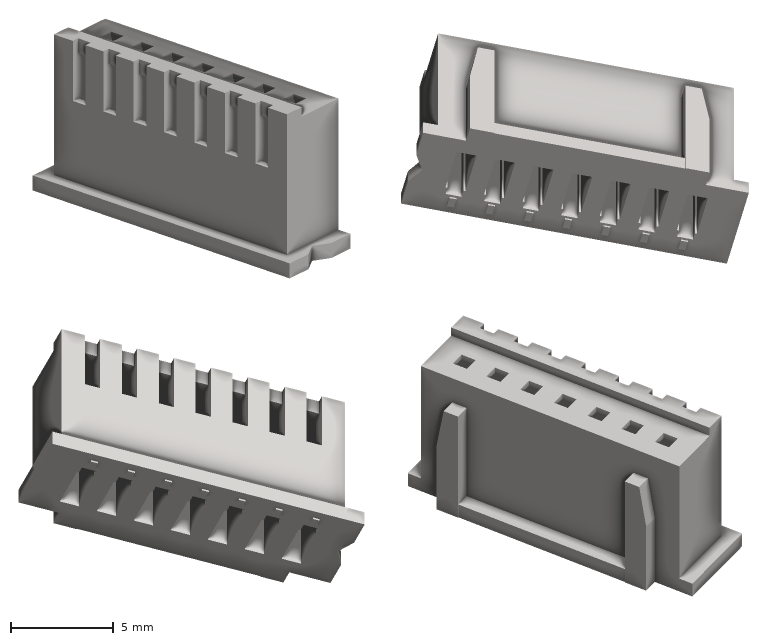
import cadquery as cq
import math


contact_count = 7
contact_pitch = 1.93
contact_xs = [(i - (contact_count - 1) / 2) * contact_pitch for i in range(contact_count)]

body_length = 14.8
body_depth = 3.9
total_height = 8.3
ridge_height = 0.5
ridge_depth = 1.1
shoulder_z = total_height - ridge_height

flange_end_overhang = 0.75
flange_front_overhang = 0.7
flange_height = 0.8
flange_length = body_length + 2 * flange_end_overhang
flange_depth = body_depth + flange_front_overhang

notch_depth = 0.5
notch_angle = 120
notch_half_width = notch_depth * math.tan(math.radians(notch_angle / 2))
notch_y = flange_depth / 2 - flange_front_overhang

latch_width = 12.0
latch_depth = 0.8
latch_height = 6.3
taper_start_z = 4.0
taper_inset = 0.4
latch_gap = 9.55
latch_bar_depth = 0.77
latch_bar_height = flange_height

cavity_wall = 0.8
cavity_width = 1.0
window_roof_drop = 0.8
cavity_depth = body_depth - 2 * cavity_wall
roof_z = total_height - window_roof_drop
opening_size = 0.8
opening_back_offset = 1.0
opening_y = body_depth - opening_back_offset - opening_size
window_height = 3.2
window_recess = 0.4
window_floor_z = total_height - window_height

mark_width = 0.35
mark_depth = 0.54
mark_height = 0.1


def block(width, depth, height, x=0, y=0, z=0):
    """Box centred on x, starting at y and z and extending toward +Y and +Z."""
    return cq.Workplane("XY").box(width, depth, height, centered=(True, False, False)).translate((x, y, z))


def make_body():
    main = block(body_length, body_depth, shoulder_z)
    ridge = block(body_length, ridge_depth, total_height)
    return main.union(ridge)


def make_flange():
    flange = block(flange_length, flange_depth, flange_height, y=-flange_front_overhang)
    end_x = flange_length / 2
    notch = (
        cq.Workplane("XY")
        .moveTo(end_x, notch_y - notch_half_width)
        .lineTo(end_x - notch_depth, notch_y)
        .lineTo(end_x, notch_y + notch_half_width)
        .close()
        .extrude(flange_height)
    )
    return flange.cut(notch)


def make_latch():
    half_width = latch_width / 2
    top_half_width = half_width - taper_inset
    outline = (
        cq.Workplane("XZ", origin=(0, body_depth, 0))
        .moveTo(-half_width, 0)
        .lineTo(half_width, 0)
        .lineTo(half_width, taper_start_z)
        .lineTo(top_half_width, latch_height)
        .lineTo(-top_half_width, latch_height)
        .lineTo(-half_width, taper_start_z)
        .close()
        .extrude(-latch_depth)
    )
    prongs = outline.cut(block(latch_gap, latch_depth, latch_height, y=body_depth))
    bar = block(latch_gap, latch_bar_depth, latch_bar_height, y=body_depth)
    return prongs.union(bar)


def contact_cut(x):
    """Cavity open at the bottom, square opening through the roof, front window and groove."""
    cavity = block(cavity_width, cavity_depth, roof_z, x, cavity_wall)
    opening = block(opening_size, opening_size, total_height, x, opening_y)
    window = block(opening_size, window_recess, window_height, x, 0, window_floor_z)
    groove = block(opening_size, cavity_wall - window_recess, roof_z, x, window_recess)
    return cavity.union(opening).union(window).union(groove)


def position_mark(x):
    return block(mark_width, mark_depth, mark_height, x, -mark_depth / 2, -mark_height)


result = make_body().union(make_flange()).union(make_latch())
for contact_x in contact_xs:
    result = result.cut(contact_cut(contact_x)).union(position_mark(contact_x))